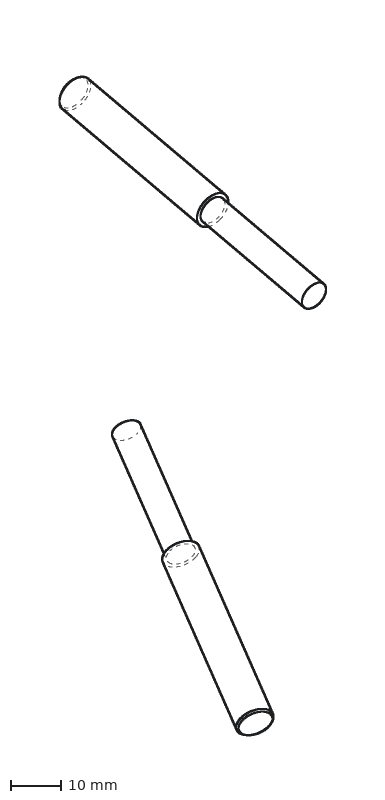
import cadquery as cq
import math

total_length = 79.0
shank_length = 45.0
shank_radius = 8.0 / 2
shank_chamfer = 0.4
drill_radius = 6.2 / 2
point_angle = 140.0

point_length = drill_radius / math.tan(math.radians(point_angle / 2))
point_start = total_length - point_length

profile = (
    cq.Workplane("XY")
    .moveTo(0, 0)
    .lineTo(0, shank_radius - shank_chamfer)
    .lineTo(shank_chamfer, shank_radius)
    .lineTo(shank_length, shank_radius)
    .lineTo(shank_length, drill_radius)
    .lineTo(point_start, drill_radius)
    .lineTo(total_length, 0)
    .close()
)

result = profile.revolve(360, (0, 0, 0), (1, 0, 0))